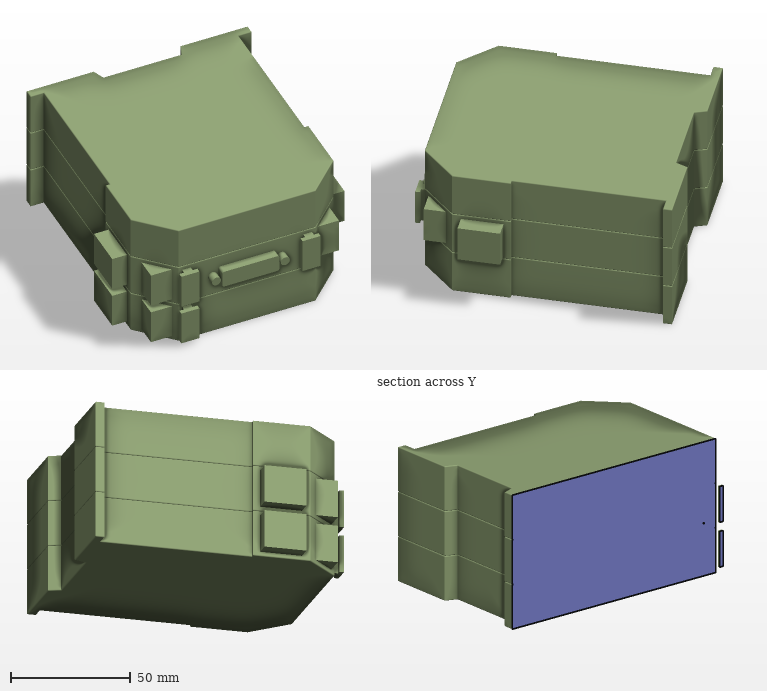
import cadquery as cq

TOTAL_LENGTH = 114.0
TOTAL_WIDTH = 107.0
TOTAL_HEIGHT = 60.0
MODULE_COUNT = 3
MODULE_HEIGHT = TOTAL_HEIGHT / MODULE_COUNT
RIM_RADIUS = 0.5

FRONT_X = 110.0
FLANGE_THICKNESS = 4.0
FLANGE_HALF_WIDTH = 51.0
BODY_HALF_WIDTH = 44.9
HEAD_START_X = 70.0
HEAD_HALF_WIDTH = 46.7
CORNER_START_X = 95.1
FRONT_HALF_WIDTH = 31.6
RAIL_NOTCH_DEPTH = 5.2
RAIL_MOUTH_HALF_WIDTH = 20.0
RAIL_FLOOR_HALF_WIDTH = 17.9

PLUG_HEIGHT = 16.2
SIDE_PLUG_START_X = 73.1
SIDE_PLUG_END_X = 91.3
CORNER_PLUG_START_X = CORNER_START_X
CORNER_PLUG_END_X = 108.0
CORNER_PLUG_HALF_WIDTH = 43.3

TAB_Y = 27.9
TAB_STEM_WIDTH = 4.0
TAB_HEAD_WIDTH = 8.3
TAB_HEAD_THICKNESS = 2.0

CONNECTOR_WIDTH = 26.2
CONNECTOR_HEIGHT = 8.0
CONNECTOR_CORNER_RADIUS = 1.0
POST_Y = 15.8
POST_DIAMETER = 4.1

PLUG_SIDES = {0: (-1,), 1: (-1, 1)}
CONNECTOR_MODULE = 1


def module_center_z(index):
    return (index + 0.5) * MODULE_HEIGHT


def block(x_start, x_end, y_start, y_end, z_center, height):
    size = (x_end - x_start, abs(y_end - y_start), height)
    center = ((x_start + x_end) / 2, (y_start + y_end) / 2, z_center)
    return cq.Workplane("XY").box(*size).translate(center)


def housing(index):
    """One housing, with the rims of its top and bottom faces rounded."""
    upper_half = [
        (RAIL_NOTCH_DEPTH, RAIL_FLOOR_HALF_WIDTH),
        (0, RAIL_MOUTH_HALF_WIDTH),
        (0, FLANGE_HALF_WIDTH),
        (FLANGE_THICKNESS, FLANGE_HALF_WIDTH),
        (FLANGE_THICKNESS, BODY_HALF_WIDTH),
        (HEAD_START_X, BODY_HALF_WIDTH),
        (HEAD_START_X, HEAD_HALF_WIDTH),
        (CORNER_START_X, HEAD_HALF_WIDTH),
        (FRONT_X, FRONT_HALF_WIDTH),
    ]
    lower_half = [(x, -y) for x, y in reversed(upper_half)]
    return (
        cq.Workplane("XY", origin=(0, 0, index * MODULE_HEIGHT))
        .polyline(upper_half + lower_half)
        .close()
        .extrude(MODULE_HEIGHT)
        .faces("|Z")
        .fillet(RIM_RADIUS)
    )


def plugs_and_tab(z_center, side):
    """Side plug, corner plug and pull tab on the +Y (side = 1) or -Y (side = -1) half of a module."""
    side_plug = block(
        SIDE_PLUG_START_X,
        SIDE_PLUG_END_X,
        side * BODY_HALF_WIDTH,
        side * TOTAL_WIDTH / 2,
        z_center,
        PLUG_HEIGHT,
    )
    corner_plug = block(
        CORNER_PLUG_START_X,
        CORNER_PLUG_END_X,
        side * FRONT_HALF_WIDTH,
        side * CORNER_PLUG_HALF_WIDTH,
        z_center,
        PLUG_HEIGHT,
    )
    tab_y = side * TAB_Y
    stem_edges = (tab_y - TAB_STEM_WIDTH / 2, tab_y + TAB_STEM_WIDTH / 2)
    head_edges = (tab_y - TAB_HEAD_WIDTH / 2, tab_y + TAB_HEAD_WIDTH / 2)
    tab_stem = block(FRONT_X, TOTAL_LENGTH, *stem_edges, z_center, PLUG_HEIGHT)
    tab_head = block(TOTAL_LENGTH - TAB_HEAD_THICKNESS, TOTAL_LENGTH, *head_edges, z_center, PLUG_HEIGHT)
    return side_plug.union(corner_plug).union(tab_stem).union(tab_head)


def connector(z_center):
    """Connector with rounded corners between two round screw posts."""
    front_face = cq.Workplane("YZ", origin=(FRONT_X, 0, z_center))
    projection = TOTAL_LENGTH - FRONT_X
    shell = (
        front_face.rect(CONNECTOR_WIDTH, CONNECTOR_HEIGHT)
        .extrude(projection)
        .edges("|X")
        .fillet(CONNECTOR_CORNER_RADIUS)
    )
    posts = front_face.pushPoints([(-POST_Y, 0), (POST_Y, 0)]).circle(POST_DIAMETER / 2).extrude(projection)
    return shell.union(posts)


result = housing(0)
for module in range(1, MODULE_COUNT):
    result = result.union(housing(module))
for module, sides in PLUG_SIDES.items():
    for plug_side in sides:
        result = result.union(plugs_and_tab(module_center_z(module), plug_side))
result = result.union(connector(module_center_z(CONNECTOR_MODULE)))